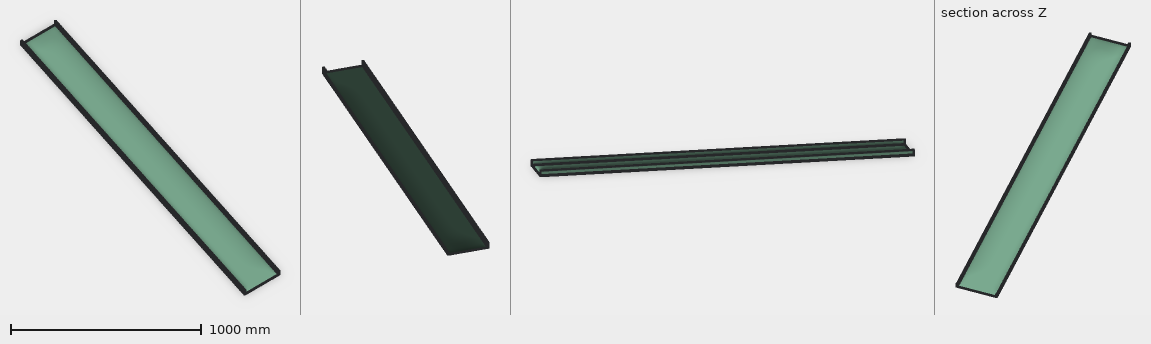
import cadquery as cq

length = 2000.0
width = 225.0
height = 30.0

sheet = 1.0
hem_bottom = 5.0
rim_radius = 5.0
hem_width = rim_radius + sheet


def side_profile():
    """Half of the folded section, from the centre line out to the hem at +Y."""
    outer = width / 2
    hem_face = outer - hem_width
    bend_level = height - rim_radius
    return (
        cq.Workplane("YZ")
        .lineTo(outer, 0)
        .lineTo(outer, bend_level)
        .radiusArc((outer - rim_radius, height), -rim_radius)
        .lineTo(hem_face, height)
        .lineTo(hem_face, hem_bottom)
        .lineTo(hem_face + sheet, hem_bottom)
        .lineTo(hem_face + sheet, height - sheet)
        .radiusArc((outer - sheet, bend_level), rim_radius - sheet)
        .lineTo(outer - sheet, sheet)
        .lineTo(0, sheet)
        .close()
    )


half_tray = side_profile().extrude(length)
result = half_tray.union(half_tray.mirror("XZ")).clean()